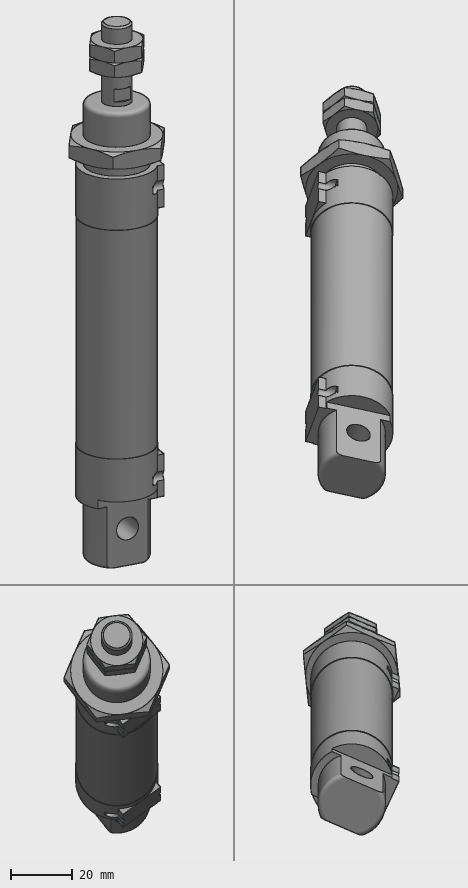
import cadquery as cq
import math


rod_top = 189.0
rod_dia = 10.0
rod_tip_dia = 8.7
rod_tip_chamfer = (rod_dia - rod_tip_dia) / 2
wrench_flat_width = 8.1
wrench_flat_bottom = 162.5
wrench_flat_height = 4.5

lock_nut_width = 17.0
lock_nut_height = 5.1
lock_nut_bottom = 172.7
lock_nut_count = 2

mount_nut_width = 30.0
mount_nut_height = 6.0
mount_nut_bottom = 143.0

nut_chamfer_angle = 22.0
hex_half_angle = 30.0

neck_dia = 22.0
neck_height = 22.1
neck_fillet = 1.5
head_dia = 26.8
head_height = 15.0
tube_dia = 26.5
front_shoulder = 139.0
rear_shoulder = 22.0
collar_height = 3.2

eye_width = 16.0
eye_flat_top = 25.0
eye_edge_fillet = 1.5
eye_hole_dia = 8.0
eye_hole_height = 13.0

pad_width = 15.5
pad_face = head_dia / 2
clip_hole_dia = 4.2
clip_hole_offset = 9.0
clip_hole_floor = 7.7
front_clip_height = 132.0
rear_clip_height = 29.3

neck_top = front_shoulder + neck_height
front_head_bottom = front_shoulder - head_height
rear_head_top = rear_shoulder + head_height
rod_seat = front_shoulder


def cylinder(dia, bottom, top):
    return cq.Workplane("XY").workplane(offset=bottom).circle(dia / 2).extrude(top - bottom)


def side_blocks(width, depth, length, bottom, height):
    """Two boxes whose inner faces lie on the planes x = -width/2 and x = +width/2."""
    return [
        cq.Workplane("XY")
        .box(depth, length, height, centered=(True, True, False))
        .translate((side * (width + depth) / 2, 0, bottom))
        for side in (-1, 1)
    ]


def hex_nut(width, height, bottom, bore_dia):
    """Hexagonal nut with flats facing +X and -X and both ends chamfered to a cone."""
    corner_radius = width / 2 / math.cos(math.radians(hex_half_angle))
    cone_drop = (corner_radius - width / 2) * math.tan(math.radians(nut_chamfer_angle))
    prism = (
        cq.Workplane("XY")
        .polygon(6, 2 * corner_radius)
        .extrude(height)
        .rotate((0, 0, 0), (0, 0, 1), hex_half_angle)
    )
    cone_envelope = (
        cq.Workplane("XZ")
        .moveTo(0, 0)
        .lineTo(width / 2, 0)
        .lineTo(corner_radius, cone_drop)
        .lineTo(corner_radius, height - cone_drop)
        .lineTo(width / 2, height)
        .lineTo(0, height)
        .close()
        .revolve(360, (0, 0), (0, 1))
    )
    bore = cylinder(bore_dia, 0, height)
    return prism.intersect(cone_envelope).cut(bore).translate((0, 0, bottom))


def piston_rod():
    rod = cylinder(rod_dia, rod_seat, rod_top).faces(">Z").chamfer(rod_tip_chamfer)
    flat_depth = (rod_dia - wrench_flat_width) / 2
    for block in side_blocks(wrench_flat_width, flat_depth, rod_dia, wrench_flat_bottom, wrench_flat_height):
        rod = rod.cut(block)
    return rod


def end_cap_pad(bottom):
    """Flat-sided port pad that stands out of an end cap toward +Y."""
    return (
        cq.Workplane("XY")
        .box(pad_width, pad_face, head_height, centered=(True, False, False))
        .translate((0, 0, bottom))
    )


def clip_holes(height):
    """Pair of blind holes along Y that break out through the sides of a pad."""
    return (
        cq.Workplane("XZ", origin=(0, pad_face, height))
        .pushPoints([(-clip_hole_offset, 0), (clip_hole_offset, 0)])
        .circle(clip_hole_dia / 2)
        .extrude(pad_face - clip_hole_floor)
    )


def cylinder_housing():
    neck = cylinder(neck_dia, front_shoulder, neck_top).faces(">Z").edges().fillet(neck_fillet)
    eye = cylinder(neck_dia, 0, rear_shoulder).faces("<Z").edges().fillet(eye_edge_fillet)
    front_head = cylinder(head_dia, front_head_bottom - collar_height, front_shoulder)
    rear_head = cylinder(head_dia, rear_shoulder, rear_head_top + collar_height)
    tube = cylinder(tube_dia, rear_head_top, front_head_bottom)
    housing = tube
    for part in (front_head, neck, rear_head, eye):
        housing = housing.union(part)

    for bottom in (front_head_bottom, rear_shoulder):
        housing = housing.union(end_cap_pad(bottom))
    for height in (front_clip_height, rear_clip_height):
        housing = housing.cut(clip_holes(height))

    for block in side_blocks(eye_width, (head_dia - eye_width) / 2, head_dia, 0, eye_flat_top):
        housing = housing.cut(block)
    eye_hole = (
        cq.Workplane("YZ", origin=(0, 0, eye_hole_height))
        .circle(eye_hole_dia / 2)
        .extrude(head_dia, both=True)
    )
    rod_bore = cylinder(rod_dia, rod_seat, neck_top)
    return housing.cut(eye_hole).cut(rod_bore)


housing = cylinder_housing()
rod = piston_rod()
mount_nut = hex_nut(mount_nut_width, mount_nut_height, mount_nut_bottom, neck_dia)
lock_nuts = [
    hex_nut(lock_nut_width, lock_nut_height, lock_nut_bottom + i * lock_nut_height, rod_dia)
    for i in range(lock_nut_count)
]

result = cq.Compound.makeCompound(
    [housing.val(), rod.val(), mount_nut.val(), *[nut.val() for nut in lock_nuts]]
)